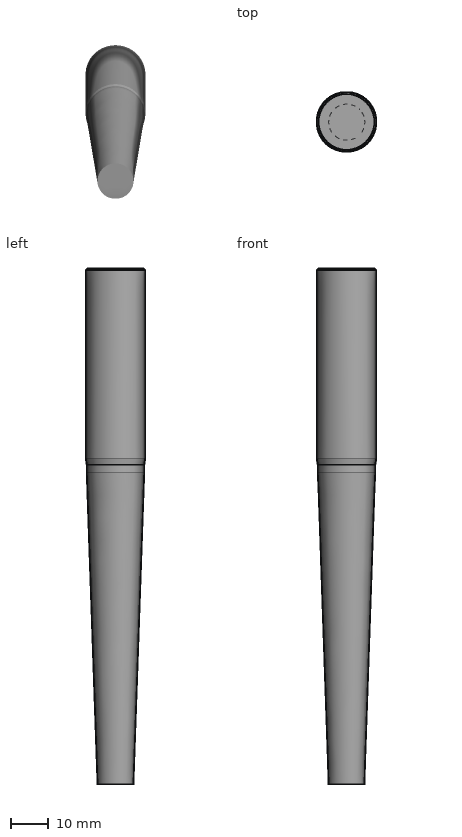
import cadquery as cq

total_length = 136.5
grip_diameter = 15.8

grip_bottom = 84.6
top_bevel = 0.5
lower_bevel_height = 1.6
grip_radius = grip_diameter / 2

collar_height = 2.0
collar_radius = 7.6
tip_radius = 4.8
taper_length = grip_bottom - collar_height


def revolve_profile(points):
    """Turn a closed (radius, height) outline around the Z axis, starting on the -Y side."""
    outline = [(-radius, height) for radius, height in points]
    return cq.Workplane("YZ").polyline(outline).close().revolve(360, (0, 0, 0), (0, 1, 0))


def make_grip():
    """Upper cylinder, narrowing to the collar radius at its lower end."""
    return revolve_profile([
        (0, grip_bottom),
        (collar_radius, grip_bottom),
        (grip_radius, grip_bottom + lower_bevel_height),
        (grip_radius, total_length - top_bevel),
        (grip_radius - top_bevel, total_length),
        (0, total_length),
    ])


def make_shank():
    """Tapered lower body whose flat collar end meets the grip."""
    return revolve_profile([
        (0, 0),
        (tip_radius, 0),
        (collar_radius, taper_length),
        (collar_radius, grip_bottom),
        (0, grip_bottom),
    ])


grip = make_grip()
shank = make_shank()

result = cq.Compound.makeCompound([grip.val(), shank.val()])